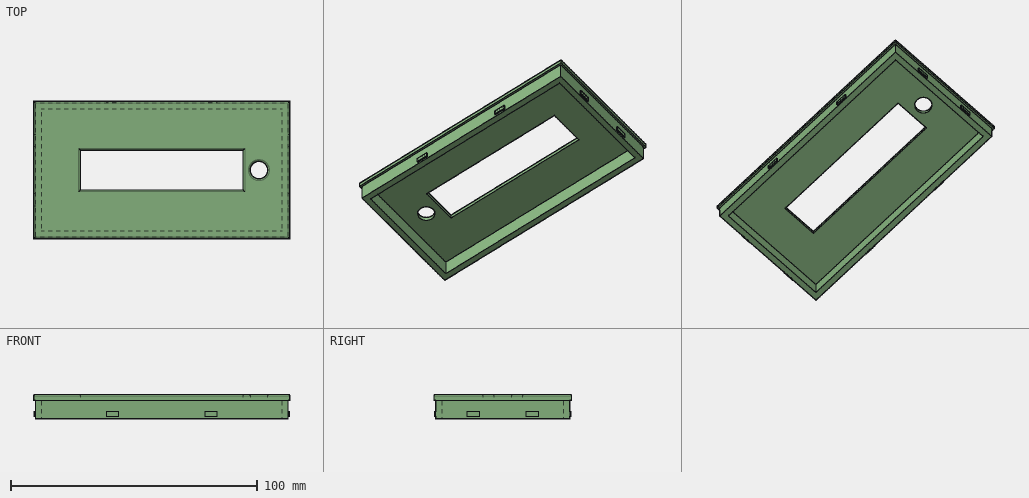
import cadquery as cq

plate_length = 104.2
plate_width = 56.0
total_height = 10.0
plate_thickness = 2.5
edge_radius = 0.75

skirt_inset = 0.75
skirt_length = plate_length - 2 * skirt_inset
skirt_width = plate_width - 2 * skirt_inset
skirt_wall = 2.5
skirt_height = total_height - plate_thickness

window_length = 66.0
window_width = 16.0

hole_diameter = 7.0
hole_x = 39.5

lug_length = 5.0
lug_height = 2.0
lug_projection = 0.5
lug_bottom = 1.0
lug_spacing_long_side = 40.0
lug_spacing_short_side = 24.0


def make_plate():
    """Cover plate with a rounded top rim."""
    return (
        cq.Workplane("XY")
        .workplane(offset=skirt_height)
        .rect(plate_length, plate_width)
        .extrude(plate_thickness)
        .faces(">Z")
        .edges()
        .fillet(edge_radius)
    )


def make_skirt():
    """Thin rectangular wall that hangs under the plate."""
    return (
        cq.Workplane("XY")
        .rect(skirt_length, skirt_width)
        .rect(skirt_length - 2 * skirt_wall, skirt_width - 2 * skirt_wall)
        .extrude(skirt_height)
    )


def cut_openings(body):
    """Cut the window and the round hole, then round their top edges."""
    plate_top = cq.Workplane("XY").workplane(offset=total_height)
    window = plate_top.rect(window_length, window_width).extrude(-plate_thickness)
    hole = plate_top.center(hole_x, 0).circle(hole_diameter / 2).extrude(-plate_thickness)
    pierced = body.cut(window).cut(hole)
    top_face = pierced.faces(">Z").val()
    opening_edges = [edge for wire in top_face.innerWires() for edge in wire.Edges()]
    return pierced.newObject(opening_edges).fillet(edge_radius)


def make_lugs():
    """Blocks rooted in the skirt walls whose outer ends stand out as snap lugs."""
    block_depth = skirt_wall + lug_projection
    outward_shift = (lug_projection - skirt_wall) / 2
    block_x = skirt_length / 2 + outward_shift
    block_y = skirt_width / 2 + outward_shift
    middle_z = lug_bottom + lug_height / 2
    long_side_block = cq.Workplane("XY").box(lug_length, block_depth, lug_height)
    short_side_block = cq.Workplane("XY").box(block_depth, lug_length, lug_height)

    lugs = []
    for x_sign in (-1, 1):
        for y_sign in (-1, 1):
            long_side_place = (x_sign * lug_spacing_long_side / 2, y_sign * block_y, middle_z)
            short_side_place = (x_sign * block_x, y_sign * lug_spacing_short_side / 2, middle_z)
            lugs.append(long_side_block.translate(long_side_place))
            lugs.append(short_side_block.translate(short_side_place))
    return lugs


result = cut_openings(make_plate()).union(make_skirt())
for lug in make_lugs():
    result = result.union(lug)